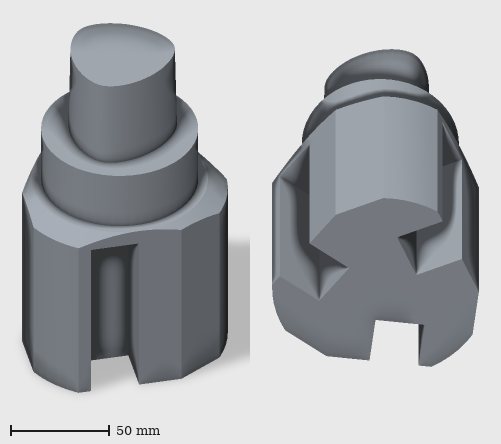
import cadquery as cq
import math

total_height = 178.0
body_height = 98.0
collar_height = 32.0
shank_height = total_height - body_height - collar_height

body_radius = 55.0
body_top_radius = 44.9
cone_angle = 30.0
wide_flat_distance = 45.0
narrow_flat_distance = 50.0
wide_flat_angles = (60, 180, 300)
narrow_flat_angles = (90, 210, 330)

slot_width = 25.1
slot_height = 90.0
slot_floor_distance = 20.0

collar_diameter = 80.0

shank_base_radius = 27.6
shank_tip_radius = 26.5
lobe_height = 2.0
lobe_count = 3
lobe_direction = math.radians(-90)


def radial_block(distance, angle, side_start, width, height):
    """Block reaching from a distance off the axis to beyond the body, in the given direction."""
    block = cq.Workplane("XY").box(body_radius, width, height, centered=False)
    return block.translate((distance, side_start, 0)).rotate((0, 0, 0), (0, 0, 1), angle)


def make_body():
    cone_height = (body_radius - body_top_radius) * math.tan(math.radians(cone_angle))
    body = (
        cq.Workplane("XZ")
        .polyline([
            (0, 0),
            (body_radius, 0),
            (body_radius, body_height - cone_height),
            (body_top_radius, body_height),
            (0, body_height),
        ])
        .close()
        .revolve(360, (0, 0, 0), (0, 1, 0))
    )
    for angles, distance in (
        (wide_flat_angles, wide_flat_distance),
        (narrow_flat_angles, narrow_flat_distance),
    ):
        for angle in angles:
            body = body.cut(radial_block(distance, angle, -body_radius, 2 * body_radius, body_height))
    for angle in wide_flat_angles:
        body = body.cut(radial_block(slot_floor_distance, angle, -slot_width, slot_width, slot_height))
    return body


def shank_outline(mean_radius):
    """Closed curve whose tangent lies mean_radius + lobe_height * cos(3a) from the axis."""
    def point(turn):
        direction = 2 * math.pi * turn
        lobe_phase = lobe_count * (direction - lobe_direction)
        reach = mean_radius + lobe_height * math.cos(lobe_phase)
        slide = -lobe_count * lobe_height * math.sin(lobe_phase)
        return (
            reach * math.cos(direction) - slide * math.sin(direction),
            reach * math.sin(direction) + slide * math.cos(direction),
        )
    return point


def make_shank():
    return (
        cq.Workplane("XY", origin=(0, 0, body_height + collar_height))
        .parametricCurve(shank_outline(shank_base_radius), start=0, stop=1)
        .workplane(offset=shank_height)
        .parametricCurve(shank_outline(shank_tip_radius), start=0, stop=1)
        .loft(ruled=True)
    )


def make_collar():
    return (
        cq.Workplane("XY", origin=(0, 0, body_height))
        .circle(collar_diameter / 2)
        .extrude(collar_height)
    )


result = make_body().union(make_collar()).union(make_shank())